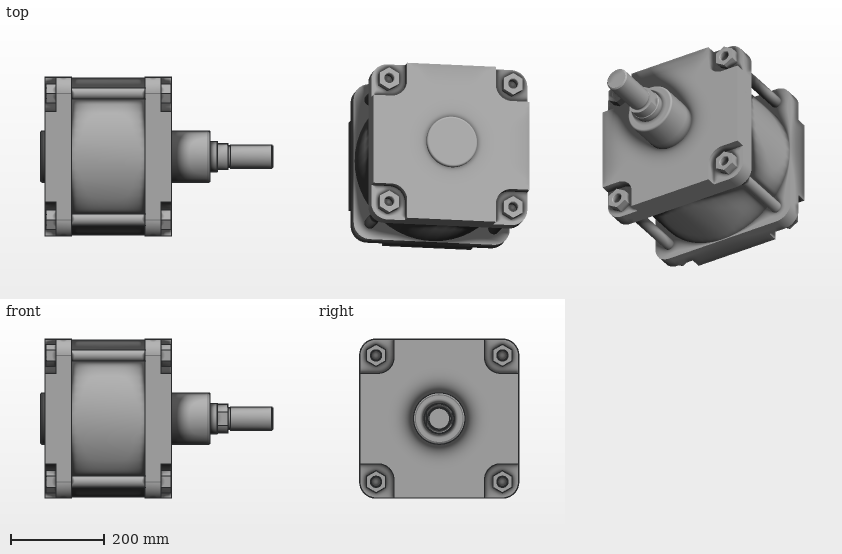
import cadquery as cq
import math


head_width = 340.0
head_length = 57.0
corner_radius = 35.0
corner_recess_width = 73.5
corner_recess_radius = corner_radius
rear_recess_depth = 24.0
front_recess_depth = 23.0

boss_diameter = 110.0
boss_fillet = 4.0
rear_boss_length = 9.0
front_boss_length = 82.0

barrel_diameter = 336.0
barrel_length = 157.0

tie_rod_diameter = 24.0
nut_across_flats = 41.0
nut_height = 21.5
nut_hole_diameter = 20.75
nut_hole_chamfer = 1.6

rod_diameter = 65.0
flats_diameter = 62.0
flats_across = 55.0
neck_diameter = 47.0
thread_diameter = 50.0
thread_chamfer = 2.75
collar_chamfer = 1.2
neck_root_fillet = 1.2
collar_length = 16.0
flats_length = 22.0
neck_length = 5.5

overall_length = 496.0
rear_face = rear_boss_length
barrel_start = rear_face + head_length
barrel_end = barrel_start + barrel_length
front_face = barrel_end + head_length
front_boss_end = front_face + front_boss_length
flats_start = front_boss_end + collar_length
flats_end = flats_start + flats_length
thread_start = flats_end + neck_length

rod_offset = head_width / 2 - corner_radius
rod_centers = [(y, z) for y in (-rod_offset, rod_offset) for z in (-rod_offset, rod_offset)]


def section_at(x):
    """Workplane across the cylinder axis: local x is +Y, local y is +Z, normal is +X."""
    return cq.Workplane("YZ", origin=(x, 0, 0))


def cylinder(start, end, diameter):
    return section_at(start).circle(diameter / 2).extrude(end - start)


def corner_recesses(start, depth):
    """Four pockets with one rounded inner corner, opening to the sides of a head."""
    return (
        section_at(start)
        .rect(head_width, head_width, forConstruction=True)
        .vertices()
        .rect(2 * corner_recess_width, 2 * corner_recess_width)
        .extrude(depth)
        .edges("|X")
        .fillet(corner_recess_radius)
    )


def head_block(start):
    """Square plate with rounded corners and four tie-rod holes."""
    block = section_at(start).rect(head_width, head_width).extrude(head_length)
    block = block.edges("|X").fillet(corner_radius)
    rod_holes = section_at(start).pushPoints(rod_centers).circle(tie_rod_diameter / 2).extrude(head_length)
    return block.cut(rod_holes)


def make_rear_head():
    boss = cylinder(0, rear_face, boss_diameter).faces("<X").edges().fillet(boss_fillet)
    recesses = corner_recesses(rear_face, rear_recess_depth)
    return head_block(rear_face).cut(recesses).union(boss)


def make_front_head():
    boss = cylinder(front_face, front_boss_end, boss_diameter).faces(">X").edges().fillet(boss_fillet)
    recesses = corner_recesses(front_face - front_recess_depth, front_recess_depth)
    bore = cylinder(barrel_end, front_boss_end, rod_diameter)
    return head_block(barrel_end).cut(recesses).union(boss).cut(bore)


def make_barrel():
    return cylinder(barrel_start, barrel_end, barrel_diameter)


def make_piston_rod():
    """Rod through the front head, then two wrench flats, an undercut neck and the thread."""
    collar = cylinder(barrel_end, flats_start, rod_diameter).faces(">X").chamfer(collar_chamfer)
    round_stock = cylinder(flats_start, flats_end, flats_diameter)
    slab = section_at(flats_start).rect(flats_across, flats_diameter).extrude(flats_length)
    neck = cylinder(flats_end, thread_start, neck_diameter)
    flats_and_neck = round_stock.intersect(slab).union(neck)
    neck_root = flats_and_neck.faces(">X[-2]").edges(cq.selectors.RadiusNthSelector(0))
    flats_and_neck = neck_root.fillet(neck_root_fillet)
    thread = cylinder(thread_start, overall_length, thread_diameter).faces(">X").chamfer(thread_chamfer)
    return collar.union(flats_and_neck).union(thread)


def make_tie_rod(y, z):
    """Tie rod seated in the corner recesses, with a hollow hexagon nut at each end."""
    rear_seat = rear_face + rear_recess_depth
    front_seat = front_face - front_recess_depth
    tie_rod = section_at(rear_seat).center(y, z).circle(tie_rod_diameter / 2).extrude(front_seat - rear_seat)
    corner_diameter = nut_across_flats / math.cos(math.pi / 6)
    for start, outer_side in ((rear_seat - nut_height, "<X"), (front_seat, ">X")):
        nut = (
            section_at(start)
            .center(y, z)
            .transformed(rotate=(0, 0, 90))
            .polygon(6, corner_diameter)
            .circle(nut_hole_diameter / 2)
            .extrude(nut_height)
            .faces(outer_side)
            .edges("%CIRCLE")
            .chamfer(nut_hole_chamfer)
        )
        tie_rod = tie_rod.union(nut)
    return tie_rod


rear_head = make_rear_head()
front_head = make_front_head()
barrel = make_barrel()
piston_rod = make_piston_rod()
tie_rods = [make_tie_rod(y, z) for y, z in rod_centers]

result = cq.Compound.makeCompound(
    [
        rear_head.val(),
        front_head.val(),
        barrel.val(),
        piston_rod.val(),
        *[tie_rod.val() for tie_rod in tie_rods],
    ]
)